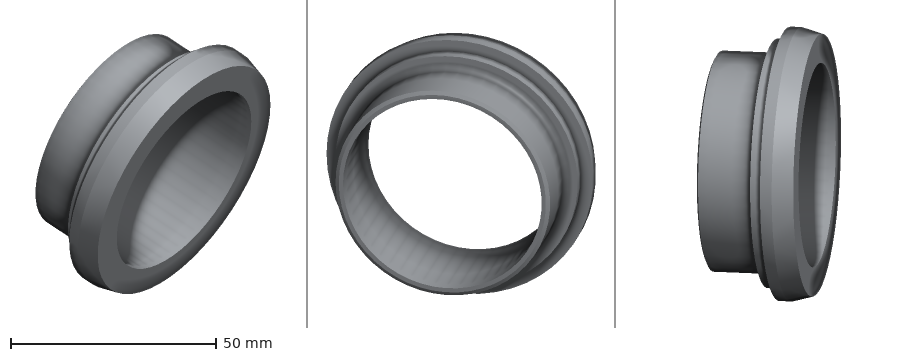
import cadquery as cq

bore_diameter = 50.0
tube_diameter = 54.0
step_diameter = 61.0
rim_diameter = 67.0
rim_end_diameter = 64.2

total_length = 25.0
tube_end = -total_length / 2
rim_end = total_length / 2
step_width = 3.0
rim_width = 2.9
taper_length = 5.1
taper_start = rim_end - taper_length
rim_start = taper_start - rim_width
step_start = rim_start - step_width

root_fillet = 1.55
bevel_length = 0.5
bevel_depth = 0.95

tube_radius = tube_diameter / 2
bore_radius = bore_diameter / 2
step_radius = step_diameter / 2
rim_radius = rim_diameter / 2

profile = (
    cq.Workplane("XY")
    .moveTo(tube_end, bore_radius)
    .lineTo(tube_end, tube_radius - bevel_depth)
    .lineTo(tube_end + bevel_length, tube_radius)
    .lineTo(step_start - root_fillet, tube_radius)
    .radiusArc((step_start, tube_radius + root_fillet), -root_fillet)
    .lineTo(step_start, step_radius)
    .lineTo(rim_start, step_radius)
    .lineTo(rim_start, rim_radius)
    .lineTo(taper_start, rim_radius)
    .lineTo(rim_end, rim_end_diameter / 2)
    .lineTo(rim_end, bore_radius)
    .close()
)

result = profile.revolve(360, (0, 0, 0), (1, 0, 0))